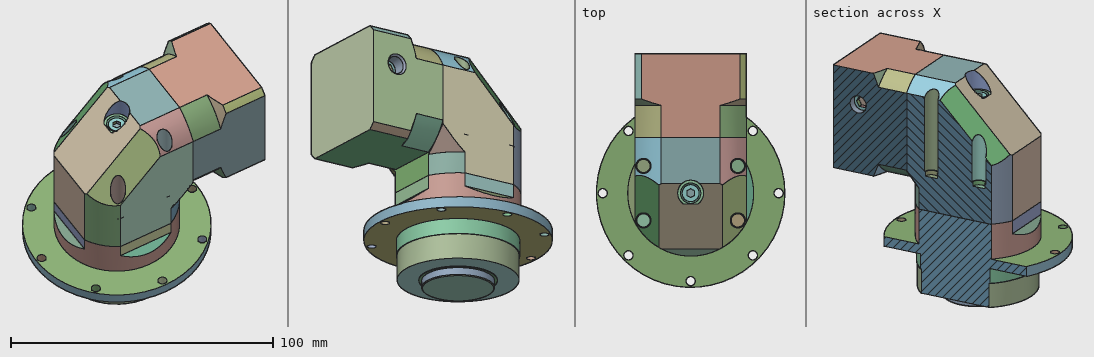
import cadquery as cq
import math

half_width = 21.2
round_radius = 24.0
total_height = 90.0
input_axis_z = total_height - half_width

flange_radius = 36.0
flange_bottom_z = 19.5
flange_top_z = 23.7
flange_hole_count = 8
flange_hole_circle_radius = 33.6
flange_hole_radius = 1.7
spigot_bottom_z = 3.4
spigot_step_z = 13.4
spigot_lower_radius = 23.3
spigot_upper_radius = 23.6
hub_radius = 13.95
hub_chamfer = 0.4
seal_lip_radius = 15.0
seal_lip_bottom_z = 3.15
flat_bottom_z = 32.8
flat_runout_drop = 2.4
output_joint_z = 38.1

slant_top_y = 3.6
slant_chamfer = 9.1
inner_cone_bottom_z = 46.6
inner_cone_height = 9.45
screw_circle_radius = 20.8
screw_angle = math.radians(30)
screw_x = screw_circle_radius * math.cos(screw_angle)
screw_y = screw_circle_radius * math.sin(screw_angle)
screw_pocket_radius = 2.9
screw_bore_radius = 2.5
screw_pocket_floor_z = 54.0
screw_bore_depth = 1.8
vent_pocket_radius = 4.95
vent_pocket_floor_z = 82.2
vent_sink_radius = 3.9
vent_plug_radius = 3.2
vent_sink_depth = 0.45
vent_hex_corner_radius = 1.7
vent_hex_depth = 1.35

input_length = 53.3
neck_end_y = 33.5
block_start_y = 35.9
block_radius = 28.35
clamp_hole_y = 42.4
clamp_hole_z = 75.8
clamp_sink_radius = 4.1
clamp_hole_radius = 3.4
clamp_sink_depth = 0.9
clamp_hole_depth = 6.3
clamp_hex_corner_radius = 2.4
clamp_hex_depth = 1.8


def box_between(x_range, y_range, z_range):
    """Box that fills the given X, Y and Z ranges."""
    corner = (x_range[0], y_range[0], z_range[0])
    size = (x_range[1] - x_range[0], y_range[1] - y_range[0], z_range[1] - z_range[0])
    return cq.Workplane("XY").box(*size, centered=False).translate(corner)


def turned(profile):
    """Solid turned about Z from a profile of (radius, z) points."""
    return cq.Workplane("XZ").polyline(profile).close().revolve(360, (0, 0), (0, 1))


def hex_recess(plane, corner_radius, depth):
    """Hexagonal prism below a plane, with two corners on the local Y axis."""
    return plane.transformed(rotate=(0, 0, 90)).polygon(6, 2 * corner_radius).extrude(-depth)


def turned_output_body():
    """Hub, spigot, flange and collar turned about the output axis."""
    return turned([
        (0, 0),
        (hub_radius - hub_chamfer, 0),
        (hub_radius, hub_chamfer),
        (hub_radius, seal_lip_bottom_z),
        (seal_lip_radius, seal_lip_bottom_z),
        (seal_lip_radius, spigot_bottom_z),
        (spigot_lower_radius, spigot_bottom_z),
        (spigot_lower_radius, spigot_step_z),
        (spigot_upper_radius, spigot_step_z),
        (spigot_upper_radius, flange_bottom_z),
        (flange_radius, flange_bottom_z),
        (flange_radius, flange_top_z),
        (round_radius, flange_top_z),
        (round_radius, output_joint_z),
        (0, output_joint_z),
    ])


def side_flat_cutter():
    """Prism that cuts one flat with its sloped run-out on the +X side."""
    return (
        cq.Workplane("XZ")
        .polyline([
            (half_width, output_joint_z),
            (half_width, flat_bottom_z),
            (round_radius, flat_bottom_z - flat_runout_drop),
            (round_radius, output_joint_z),
        ])
        .close()
        .extrude(round_radius, both=True)
    )


def make_output_housing():
    """Flanged housing with four flats on its collar."""
    body = turned_output_body()
    for side in range(4):
        body = body.cut(side_flat_cutter().rotate((0, 0, 0), (0, 0, 1), 90 * side))
    flange_holes = (
        cq.Workplane("XY", origin=(0, 0, flange_bottom_z))
        .polarArray(flange_hole_circle_radius, 0, 360, flange_hole_count)
        .circle(flange_hole_radius)
        .extrude(flange_top_z - flange_bottom_z)
    )
    return body.cut(flange_holes)


def output_leg_envelope():
    """Round envelope about Z that opens as a cone in the inner corner of the elbow."""
    block_corner_radius = half_width * math.sqrt(2)
    inner_cone_top_z = inner_cone_bottom_z + inner_cone_height
    rounded = turned([
        (0, output_joint_z),
        (round_radius, output_joint_z),
        (round_radius, inner_cone_bottom_z),
        (block_corner_radius, inner_cone_top_z),
        (block_corner_radius, total_height),
        (0, total_height),
    ])
    front_column = (
        cq.Workplane("XY", origin=(0, 0, output_joint_z))
        .circle(round_radius)
        .extrude(total_height - output_joint_z)
    )
    back_half = box_between(
        (-half_width, half_width), (0, half_width), (output_joint_z, total_height)
    )
    return rounded.intersect(back_half).union(front_column)


def input_leg_envelope():
    """Envelope that turns the upper corners about the input axis."""
    upper = (
        cq.Workplane("XZ", origin=(0, 0, input_axis_z))
        .circle(round_radius)
        .extrude(half_width, both=True)
    )
    lower = box_between(
        (-half_width, half_width), (-half_width, half_width), (output_joint_z, input_axis_z)
    )
    return upper.union(lower)


def slant_envelope():
    """45 degree prism with bevelled edges that closes the outer corner of the elbow."""
    across_slope = cq.Plane(origin=(0, slant_top_y, total_height), xDir=(1, 0, 0), normal=(0, 1, 1))
    face_half_width = half_width - slant_chamfer
    return (
        cq.Workplane(across_slope)
        .polyline([
            (-face_half_width, 0),
            (face_half_width, 0),
            (half_width, slant_chamfer),
            (half_width, total_height),
            (-half_width, total_height),
            (-half_width, slant_chamfer),
        ])
        .close()
        .extrude(total_height, both=True)
    )


def screw_pockets():
    """Stepped pockets for the four elbow screws, open at the top."""
    pocket_height = total_height - screw_pocket_floor_z
    pocket = turned([
        (0, -screw_bore_depth),
        (screw_bore_radius, -screw_bore_depth),
        (screw_bore_radius, 0),
        (screw_pocket_radius, 0),
        (screw_pocket_radius, pocket_height),
        (0, pocket_height),
    ]).val()
    floor = cq.Workplane("XY", origin=(0, 0, screw_pocket_floor_z))
    return floor.rect(2 * screw_x, 2 * screw_y, forConstruction=True).vertices().eachpoint(
        lambda place: pocket.located(place)
    )


def vent_pocket():
    """Pocket with a countersunk floor and a hexagon, open at the top."""
    sink_floor_z = vent_pocket_floor_z - vent_sink_depth
    pocket = turned([
        (0, sink_floor_z),
        (vent_plug_radius, sink_floor_z),
        (vent_sink_radius, vent_pocket_floor_z),
        (vent_pocket_radius, vent_pocket_floor_z),
        (vent_pocket_radius, total_height),
        (0, total_height),
    ])
    sink_floor = cq.Workplane("XY", origin=(0, 0, sink_floor_z))
    return pocket.union(hex_recess(sink_floor, vent_hex_corner_radius, vent_hex_depth))


def make_elbow():
    """Elbow that joins the output housing to the input adapter."""
    block = box_between(
        (-half_width, half_width), (-half_width, half_width), (output_joint_z, total_height)
    )
    body = block.intersect(output_leg_envelope())
    body = body.intersect(input_leg_envelope())
    body = body.intersect(slant_envelope())
    return body.cut(screw_pockets()).cut(vent_pocket())


def clamp_screw_hole():
    """Countersunk blind hole with a hexagon in its floor, entering from the -X side."""
    hole = turned([
        (0, 0),
        (clamp_sink_radius, 0),
        (clamp_hole_radius, -clamp_sink_depth),
        (clamp_hole_radius, -clamp_hole_depth),
        (0, -clamp_hole_depth),
    ])
    hole_floor = cq.Workplane("XY", origin=(0, 0, -clamp_hole_depth))
    hole = hole.union(hex_recess(hole_floor, clamp_hex_corner_radius, clamp_hex_depth))
    hole = hole.rotate((0, 0, 0), (0, 1, 0), -90)
    return hole.translate((-half_width, clamp_hole_y, clamp_hole_z))


def make_input_adapter():
    """Square motor block with a neck turned about the input axis."""
    block = box_between(
        (-half_width, half_width),
        (half_width, input_length),
        (input_axis_z - half_width, total_height),
    )
    envelope = turned([
        (0, half_width),
        (round_radius, half_width),
        (round_radius, neck_end_y),
        (block_radius, block_start_y),
        (block_radius, input_length),
        (0, input_length),
    ])
    envelope = envelope.rotate((0, 0, 0), (1, 0, 0), -90).translate((0, 0, input_axis_z))
    return block.intersect(envelope).cut(clamp_screw_hole())


output_housing = make_output_housing()
elbow = make_elbow()
input_adapter = make_input_adapter()

result = cq.Compound.makeCompound([
    output_housing.val(),
    elbow.val(),
    input_adapter.val(),
])